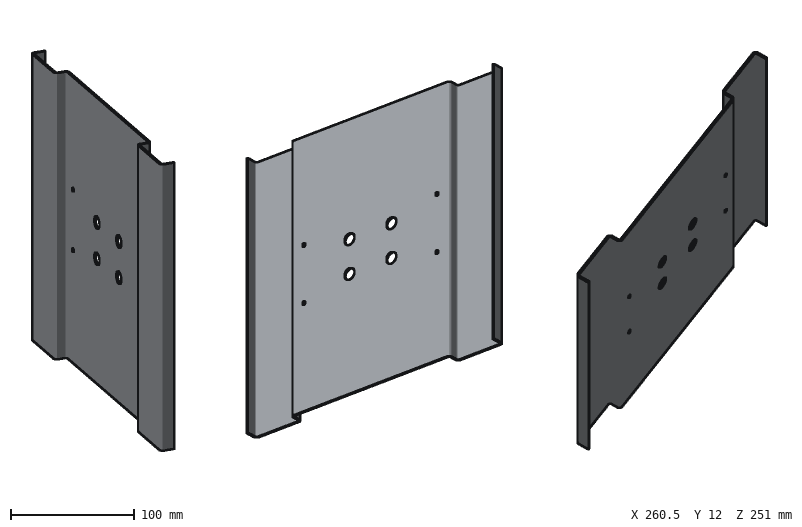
import cadquery as cq

width = 260.5
depth = 12.0
height = 251.0

thickness = 1.5
inner_bend_radius = 1.5
outer_bend_radius = inner_bend_radius + thickness

channel_width = 48.2

large_hole_diameter = 10.5
large_hole_spacing_x = 44.0
large_hole_spacing_z = 31.8
small_hole_diameter = 3.0
small_hole_spacing_x = 140.1
small_hole_spacing_z = 53.1

outer_x = width / 2
step_x = outer_x - channel_width
front_y = -depth / 2
back_y = depth / 2


def plate(x_start, x_end, y_start, y_end):
    """Full-height block between the given X and Y limits."""
    return (
        cq.Workplane("XY")
        .box(x_end - x_start, y_end - y_start, height, centered=False)
        .translate((x_start, y_start, -height / 2))
    )


def round_edges(body, radius, x, y):
    """Round the vertical edges at +x and -x for the given Y."""
    margin = thickness / 4
    for side_x in (-x, x):
        corner = cq.selectors.BoxSelector(
            (side_x - margin, y - margin, -height),
            (side_x + margin, y + margin, height),
        )
        body = body.edges("|Z").edges(corner).fillet(radius)
    return body


def bent_sheet():
    """Raised centre panel with a U-shaped channel along each side."""
    body = plate(-step_x - thickness, step_x + thickness, back_y - thickness, back_y)
    right_channel = (
        plate(step_x, outer_x, front_y, front_y + thickness)
        .union(plate(step_x, step_x + thickness, front_y, back_y))
        .union(plate(outer_x - thickness, outer_x, front_y, back_y))
    )
    body = body.union(right_channel).union(right_channel.mirror("YZ")).clean()

    body = round_edges(body, outer_bend_radius, outer_x, front_y)
    body = round_edges(body, inner_bend_radius, outer_x - thickness, front_y + thickness)
    body = round_edges(body, outer_bend_radius, step_x, front_y)
    body = round_edges(body, inner_bend_radius, step_x + thickness, front_y + thickness)
    body = round_edges(body, outer_bend_radius, step_x + thickness, back_y)
    body = round_edges(body, inner_bend_radius, step_x, back_y - thickness)
    return body


def hole_pattern(diameter, spacing_x, spacing_z):
    """Four cylinders along Y at the corners of a rectangle."""
    return (
        cq.Workplane("XZ")
        .rarray(spacing_x, spacing_z, 2, 2)
        .circle(diameter / 2)
        .extrude(depth, both=True)
    )


large_holes = hole_pattern(large_hole_diameter, large_hole_spacing_x, large_hole_spacing_z)
small_holes = hole_pattern(small_hole_diameter, small_hole_spacing_x, small_hole_spacing_z)

result = bent_sheet().cut(large_holes).cut(small_holes)